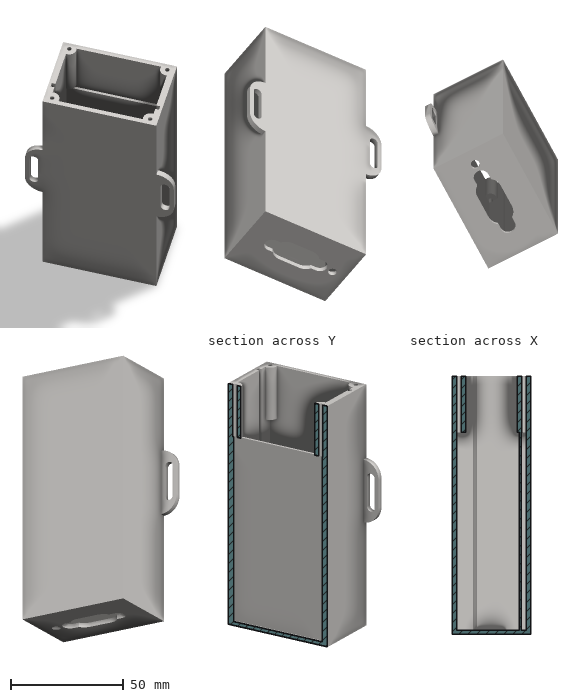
import cadquery as cq

box_width = 52.5
box_depth = 35.0
box_height = 115.0
side_wall = 3.0
face_wall = 2.1
floor_thickness = 2.1
cavity_width = box_width - 2 * side_wall
cavity_depth = box_depth - 2 * face_wall
cavity_height = box_height - floor_thickness

post_radius = 3.2
post_length = 25.0
screw_diameter = 2.0
screw_x = box_width / 2 - 3.7
screw_inset_y = 3.0
post_bottom = box_height - post_length

groove_depth = 1.7
groove_width = 2.0
groove_y = 10.1

partition_thickness = 1.2
partition_gap = 2.0

connector_y = 16.9
connector_wide = (32.0, 7.0)
connector_tall = (22.3, 11.8)
cable_hole_diameter = 4.0
cable_hole_x = 19.3
cable_hole_y = 17.4

ear_reach = 8.0
ear_thickness = 2.5
ear_height = 30.0
ear_z = 65.0
ear_slot_width = 4.0
ear_slot_length = 18.0
ear_span = box_width + 2 * ear_reach
ear_slot_x = ear_span / 2 - ear_reach / 2

along_z = (True, True, False)
corner_screws = [
    (x, y)
    for x in (-screw_x, screw_x)
    for y in (screw_inset_y, box_depth - screw_inset_y)
]


def block(width, depth, height, y, z):
    """Block centred on X = 0 and on the given Y, standing on the given Z."""
    return cq.Workplane("XY").box(width, depth, height, centered=along_z).translate((0, y, z))


def mounting_ears():
    """Rounded plate whose ends stick out on both sides of the box, with a slot in each end."""
    plate = (
        cq.Workplane("XZ")
        .rect(ear_span, ear_height)
        .extrude(-ear_thickness)
        .edges("|Y")
        .fillet(ear_reach)
    )
    slots = (
        cq.Workplane("XZ")
        .pushPoints([(-ear_slot_x, 0), (ear_slot_x, 0)])
        .slot2D(ear_slot_length, ear_slot_width, 90)
        .extrude(-ear_thickness)
    )
    return plate.cut(slots).translate((0, 0, ear_z))


def cavity():
    """Inside space, with the posts left standing and the board grooves added."""
    space = block(cavity_width, cavity_depth, cavity_height, box_depth / 2, floor_thickness)
    posts = (
        cq.Workplane("XY", origin=(0, 0, post_bottom))
        .pushPoints(corner_screws)
        .circle(post_radius)
        .extrude(post_length)
    )
    grooves = block(
        cavity_width + 2 * groove_depth, groove_width, cavity_height, groove_y, floor_thickness
    )
    return space.cut(posts).union(grooves)


def partition():
    partition_y = box_depth - face_wall - partition_gap - partition_thickness / 2
    partition_height = post_bottom - floor_thickness
    return block(
        cavity_width, partition_thickness, partition_height, partition_y, floor_thickness
    )


def screw_holes():
    return (
        cq.Workplane("XY", origin=(0, 0, post_bottom))
        .pushPoints(corner_screws)
        .circle(screw_diameter / 2)
        .extrude(post_length)
    )


def floor_openings():
    """Connector opening made of two crossing slots, and a round hole beside it."""
    openings = (
        cq.Workplane("XY")
        .center(cable_hole_x, cable_hole_y)
        .circle(cable_hole_diameter / 2)
        .extrude(floor_thickness)
    )
    for length, width in (connector_wide, connector_tall):
        slot = cq.Workplane("XY").center(0, connector_y).slot2D(length, width)
        openings = openings.union(slot.extrude(floor_thickness))
    return openings


result = (
    block(box_width, box_depth, box_height, box_depth / 2, 0)
    .union(mounting_ears())
    .cut(cavity())
    .union(partition())
    .cut(screw_holes())
    .cut(floor_openings())
)